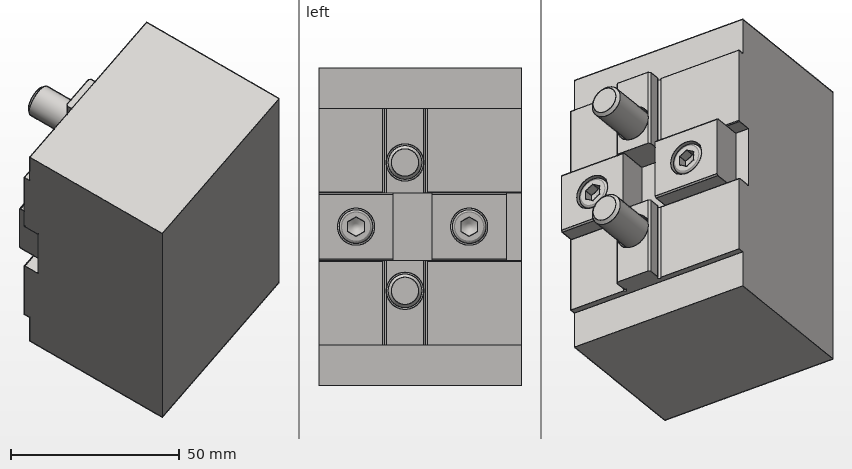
import cadquery as cq
import math

HEIGHT = 94.0
WIDTH = 60.0
BLOCK_DEPTH = 48.0

PLATE_HEIGHT = 70.0
PLATE_FACE = 50.0
TENON_FACE = 55.0
TENON_WIDTH = 12.0
TENON_Y = 4.5
TENON_CHAMFER = 0.6
RELIEF_DIAMETER = 1.0
RELIEF_OFFSET = 0.1

GROOVE_HEIGHT = 20.0
GROOVE_FLOOR = 45.0
GROOVE_CHAMFER = 0.3
KEY_LENGTH = 22.0
KEY_SPACING = 33.5
KEY_CHAMFER = 0.5

COUNTERBORE_DIAMETER = 11.0
COUNTERBORE_DEPTH = 6.5
SCREW_SEAT = TENON_FACE - COUNTERBORE_DEPTH
HEAD_DIAMETER = 10.0
HEAD_RECESS = 0.3
HEAD_FILLET = 0.7
HEX_SIDES = 6
SOCKET_ACROSS_FLATS = 5.0
SOCKET_ACROSS_CORNERS = SOCKET_ACROSS_FLATS / math.cos(math.pi / HEX_SIDES)
SOCKET_DEPTH = 3.0
SOCKET_TIP_DEPTH = 1.4

PIN_TIP = 70.0
PIN_DIAMETER = 10.0
PIN_CHAMFER = 0.9
PIN_SPACING = 38.0
PIN_HOLE_DIAMETER = 11.0
PIN_SEAT = GROOVE_FLOOR

flush_key_y = (WIDTH - KEY_LENGTH) / 2
key_centres = (flush_key_y, flush_key_y - KEY_SPACING)
pin_heights = (PIN_SPACING / 2, -PIN_SPACING / 2)


def box(start, end, width, height, y=0):
    """Box between two distances in front of the back face, centred on Z = 0."""
    return (
        cq.Workplane("YZ", origin=(-end, y, 0))
        .rect(width, height)
        .extrude(end - start)
    )


def cylinder(start, end, diameter, y, z=0):
    """Round bar along X between two distances in front of the back face."""
    return (
        cq.Workplane("YZ", origin=(-end, y, z))
        .circle(diameter / 2)
        .extrude(end - start)
    )


def make_groove_bevel():
    """Wedge that bevels both long edges where the cross groove meets the plate face."""
    half = GROOVE_HEIGHT / 2
    mouth = half + GROOVE_CHAMFER
    inner_x = -PLATE_FACE + GROOVE_CHAMFER
    profile = [(inner_x, -half), (inner_x, half), (-PLATE_FACE, mouth), (-PLATE_FACE, -mouth)]
    wedge = cq.Workplane("XZ").polyline(profile).close().extrude(WIDTH / 2, both=True)
    tenon = box(0, TENON_FACE, TENON_WIDTH, PLATE_HEIGHT, TENON_Y)
    return wedge.cut(tenon)


def make_body():
    body = box(0, BLOCK_DEPTH, WIDTH, HEIGHT).union(box(0, PLATE_FACE, WIDTH, PLATE_HEIGHT))
    tenon = box(0, TENON_FACE, TENON_WIDTH, PLATE_HEIGHT, TENON_Y)
    tenon = tenon.faces("<X").edges("|Z").chamfer(TENON_CHAMFER)
    body = body.union(tenon)
    relief_x = -(PLATE_FACE + RELIEF_OFFSET)
    for side in (-1, 1):
        corner_y = TENON_Y + side * (TENON_WIDTH / 2 + RELIEF_OFFSET)
        relief = cq.Workplane("XY").center(relief_x, corner_y).circle(RELIEF_DIAMETER / 2)
        body = body.cut(relief.extrude(PLATE_HEIGHT / 2, both=True))
    body = body.cut(box(GROOVE_FLOOR, TENON_FACE, WIDTH, GROOVE_HEIGHT))
    return body.cut(make_groove_bevel())


def make_key(y):
    key = box(GROOVE_FLOOR, TENON_FACE, KEY_LENGTH, GROOVE_HEIGHT, y)
    key = key.faces("<X").edges("|Y").chamfer(KEY_CHAMFER)
    return key.cut(cylinder(SCREW_SEAT, TENON_FACE, COUNTERBORE_DIAMETER, y))


def make_screw_head(y):
    top = TENON_FACE - HEAD_RECESS
    head = cylinder(SCREW_SEAT, top, HEAD_DIAMETER, y).faces("<X").fillet(HEAD_FILLET)
    hexagon = (
        cq.Workplane("YZ", origin=(-top, y, 0))
        .transformed(rotate=(0, 0, 90))
        .polygon(HEX_SIDES, SOCKET_ACROSS_CORNERS)
        .extrude(SOCKET_DEPTH + SOCKET_TIP_DEPTH)
    )
    radius = SOCKET_ACROSS_CORNERS / 2
    bar = cylinder(top - SOCKET_DEPTH, top, SOCKET_ACROSS_CORNERS, y)
    cone_base = cq.Vector(SOCKET_DEPTH - top, y, 0)
    cone = cq.Solid.makeCone(radius, 0, SOCKET_TIP_DEPTH, cone_base, cq.Vector(1, 0, 0))
    return head.cut(hexagon.intersect(bar.union(cq.Workplane(cone))))


def make_pin(z):
    pin = cylinder(PIN_SEAT, PIN_TIP, PIN_DIAMETER, TENON_Y, z)
    return pin.faces("<X").chamfer(PIN_CHAMFER)


result = make_body()
for y in key_centres:
    result = result.union(make_key(y)).union(make_screw_head(y))
for z in pin_heights:
    hole = cylinder(PIN_SEAT, TENON_FACE, PIN_HOLE_DIAMETER, TENON_Y, z)
    result = result.cut(hole).union(make_pin(z))